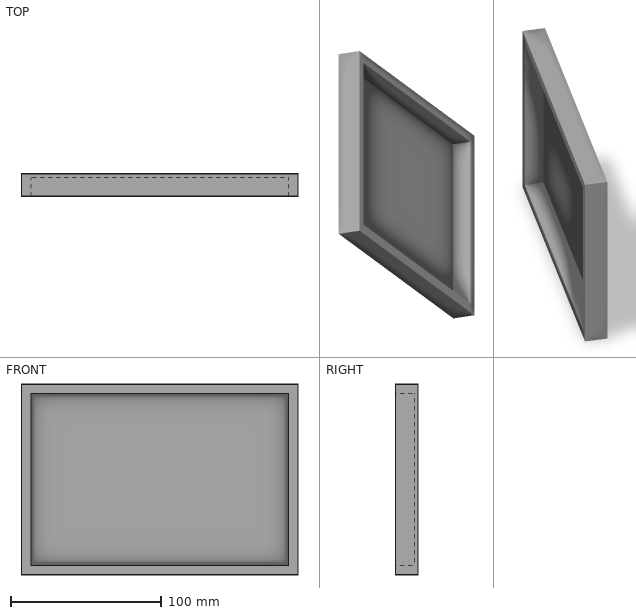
import cadquery as cq

WIDTH = 184.15
DEPTH = 15.24
HEIGHT = 127.0
RIM = 6.35
BACK = 2.54

recess_width = WIDTH - 2 * RIM
recess_depth = DEPTH - BACK
recess_height = HEIGHT - 2 * RIM


def make_block():
    """Solid rectangular block centred on the origin."""
    return cq.Workplane("XY").box(WIDTH, DEPTH, HEIGHT)


def cut_recess(body):
    """Cut the rectangular recess into the -Y face, leaving the back panel."""
    return body.faces("<Y").workplane().rect(recess_width, recess_height).cutBlind(-recess_depth)


result = cut_recess(make_block())